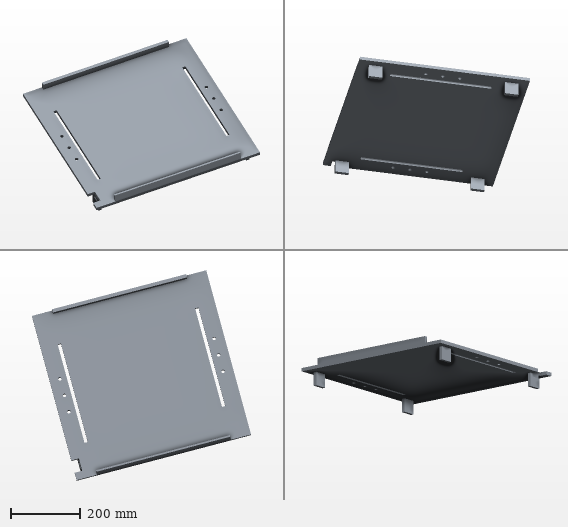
import cadquery as cq

PLATE_LENGTH_X = 500
PLATE_WIDTH_Y = 520
PLATE_THICKNESS = 10

RAIL_LENGTH = 400
RAIL_THICKNESS = 10
RAIL_HEIGHT = 20
RIGHT_RAIL_TOP_WIDTH = 5

FOOT_LENGTH_X = 40
FOOT_THICKNESS_Y = 10
FOOT_HEIGHT = 40
FOOT_INSET_X = 30
FOOT_INSET_Y = 20

SLOT_LENGTH = 300
SLOT_WIDTH = 10
SLOT_INSET = 50

HOLE_DIAMETER = 10
HOLE_SPACING = 50
HOLES_PER_ROW = 3
HOLE_INSET = 30

NOTCH_LENGTH_X = 37.5
NOTCH_DEPTH_Y = 22.5
NOTCH_RIGHT_INSET = 22.5
NOTCH_FLOOR_Z = -10

RIGHT_EDGE = PLATE_LENGTH_X / 2
BACK_EDGE = PLATE_WIDTH_Y / 2
RAIL_TOP = PLATE_THICKNESS + RAIL_HEIGHT
SIDES = (-1, 1)


def make_plate():
    return cq.Workplane("XY").box(
        PLATE_LENGTH_X, PLATE_WIDTH_Y, PLATE_THICKNESS, centered=(True, True, False)
    )


def extrude_rail(profile):
    """Extrude an XZ profile along Y, centred on the plate."""
    return cq.Workplane("XZ").polyline(profile).close().extrude(RAIL_LENGTH / 2, both=True)


def make_left_rail():
    """Rectangular rail along the left edge."""
    inner_x = -RIGHT_EDGE + RAIL_THICKNESS
    return extrude_rail([
        (-RIGHT_EDGE, 0),
        (inner_x, 0),
        (inner_x, RAIL_TOP),
        (-RIGHT_EDGE, RAIL_TOP),
    ])


def make_right_rail():
    """Rail along the right edge whose outer face leans inward above the plate."""
    inner_x = RIGHT_EDGE - RAIL_THICKNESS
    return extrude_rail([
        (inner_x, 0),
        (RIGHT_EDGE, 0),
        (RIGHT_EDGE, PLATE_THICKNESS),
        (inner_x + RIGHT_RAIL_TOP_WIDTH, RAIL_TOP),
        (inner_x, RAIL_TOP),
    ])


def make_feet():
    foot_x = RIGHT_EDGE - FOOT_INSET_X - FOOT_LENGTH_X / 2
    foot_y = BACK_EDGE - FOOT_INSET_Y - FOOT_THICKNESS_Y / 2
    centres = [(side_x * foot_x, side_y * foot_y) for side_x in SIDES for side_y in SIDES]
    return (
        cq.Workplane("XY")
        .pushPoints(centres)
        .rect(FOOT_LENGTH_X, FOOT_THICKNESS_Y)
        .extrude(-FOOT_HEIGHT)
    )


def make_slots():
    slot_y = BACK_EDGE - SLOT_INSET - SLOT_WIDTH / 2
    return (
        cq.Workplane("XY")
        .pushPoints([(0, side * slot_y) for side in SIDES])
        .rect(SLOT_LENGTH, SLOT_WIDTH)
        .extrude(PLATE_THICKNESS)
    )


def make_holes():
    row_spacing = 2 * (BACK_EDGE - HOLE_INSET)
    return (
        cq.Workplane("XY")
        .rarray(HOLE_SPACING, row_spacing, HOLES_PER_ROW, len(SIDES))
        .circle(HOLE_DIAMETER / 2)
        .extrude(PLATE_THICKNESS)
    )


def make_notch():
    notch_left = RIGHT_EDGE - NOTCH_RIGHT_INSET - NOTCH_LENGTH_X
    return (
        cq.Workplane("XY", origin=(notch_left, -BACK_EDGE, NOTCH_FLOOR_Z))
        .rect(NOTCH_LENGTH_X, NOTCH_DEPTH_Y, centered=False)
        .extrude(PLATE_THICKNESS - NOTCH_FLOOR_Z)
    )


body = make_plate().union(make_left_rail()).union(make_right_rail()).union(make_feet())
result = body.cut(make_slots()).cut(make_holes()).cut(make_notch())